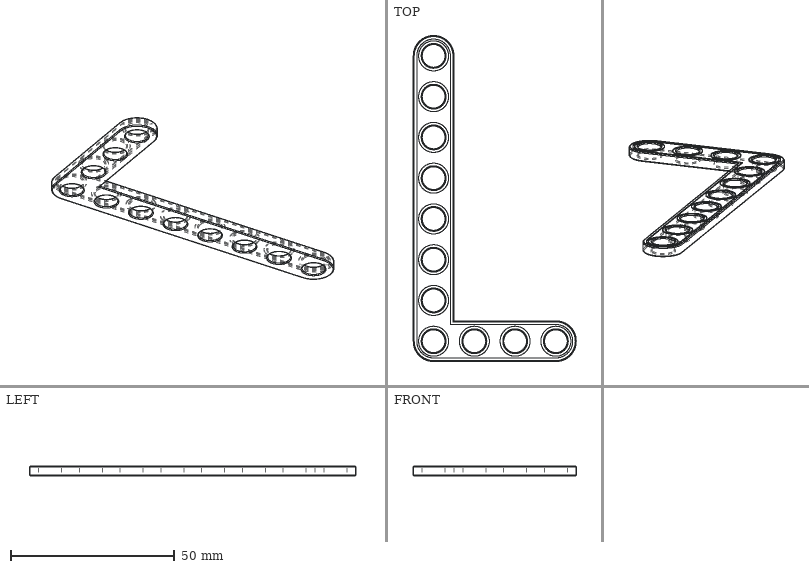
import cadquery as cq

pitch = 12.5
long_arm_holes = 8
short_arm_holes = 4
thickness = 3.1
edge_chamfer = 0.3

hole_diameter = 7.0
hole_chamfer = 0.3
collar_diameter = 9.2

rim_width = 1.1
recess_depth = 0.2

end_radius = pitch / 2
short_arm_reach = (short_arm_holes - 1) * pitch
long_arm_reach = (long_arm_holes - 1) * pitch

hole_centres = [(i * pitch, 0) for i in range(short_arm_holes)]
hole_centres += [(0, i * pitch) for i in range(1, long_arm_holes)]


def angle_outline(base_height, half_width):
    """L-shaped outline with round arm ends, a round outer corner and a sharp inner corner."""
    diagonal = half_width / 2**0.5
    return (
        cq.Workplane("XY", origin=(0, 0, base_height))
        .moveTo(0, -half_width)
        .lineTo(short_arm_reach, -half_width)
        .threePointArc((short_arm_reach + half_width, 0), (short_arm_reach, half_width))
        .lineTo(half_width, half_width)
        .lineTo(half_width, long_arm_reach)
        .threePointArc((0, long_arm_reach + half_width), (-half_width, long_arm_reach))
        .lineTo(-half_width, 0)
        .threePointArc((-diagonal, -diagonal), (0, -half_width))
        .close()
    )


def plate():
    return angle_outline(0, end_radius).extrude(thickness).faces("<Z or >Z").chamfer(edge_chamfer)


def top_recess():
    """Recess volume inside the rim, with the collars left standing."""
    floor_height = thickness - recess_depth
    collars = (
        cq.Workplane("XY", origin=(0, 0, floor_height))
        .pushPoints(hole_centres)
        .circle(collar_diameter / 2)
        .extrude(recess_depth)
    )
    recess = angle_outline(floor_height, end_radius - rim_width).extrude(recess_depth)
    return recess.cut(collars)


def chamfered_holes():
    """Through holes, widened by a chamfer at both mouths."""
    radius = hole_diameter / 2
    mouth_radius = radius + hole_chamfer
    profile = (
        cq.Workplane("XZ")
        .moveTo(0, 0)
        .lineTo(mouth_radius, 0)
        .lineTo(radius, hole_chamfer)
        .lineTo(radius, thickness - hole_chamfer)
        .lineTo(mouth_radius, thickness)
        .lineTo(0, thickness)
        .close()
    )
    hole = profile.revolve(360, (0, 0, 0), (0, 1, 0)).val()
    return cq.Workplane("XY").pushPoints(hole_centres).eachpoint(lambda place: hole.moved(place))


result = plate().cut(top_recess()).cut(chamfered_holes())